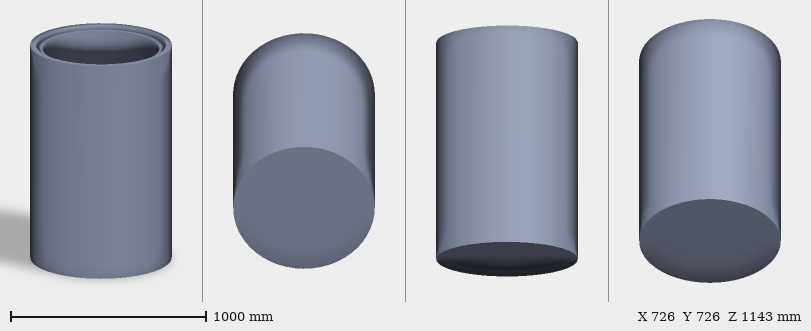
import cadquery as cq

height = 1143.0
outer_radius = 726.0 / 2
floor_height = 120.0

recess_depth = 21.0
recess_top_radius = 334.0
recess_bottom_radius = 327.0

bore_top_radius = 300.0
bore_bottom_radius = 297.0

ledge_height = height - recess_depth

half_section = (
    cq.Workplane("XZ")
    .moveTo(0, 0)
    .lineTo(outer_radius, 0)
    .lineTo(outer_radius, height)
    .lineTo(recess_top_radius, height)
    .lineTo(recess_bottom_radius, ledge_height)
    .lineTo(bore_top_radius, ledge_height)
    .lineTo(bore_bottom_radius, floor_height)
    .lineTo(0, floor_height)
    .close()
)

result = half_section.revolve(360, (0, 0, 0), (0, 1, 0))